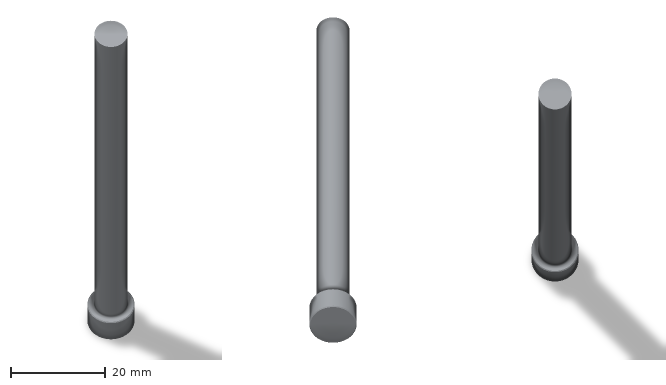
import cadquery as cq

total_length = 100.0
shaft_diameter = 7.0
head_diameter = 10.0
head_height = 6.0
root_fillet = 0.3
head_chamfer = 0.2


def make_head():
    head = cq.Workplane("XY").circle(head_diameter / 2).extrude(head_height)
    return head.faces("<Z or >Z").edges().chamfer(head_chamfer)


def make_shaft():
    return cq.Workplane("XY").circle(shaft_diameter / 2).extrude(total_length)


def fillet_root(pin):
    reach = shaft_diameter / 2 + root_fillet
    root_box = cq.selectors.BoxSelector(
        (-reach, -reach, head_height - root_fillet),
        (reach, reach, head_height + root_fillet),
        boundingbox=True,
    )
    return pin.edges(root_box).fillet(root_fillet)


result = fillet_root(make_head().union(make_shaft()))